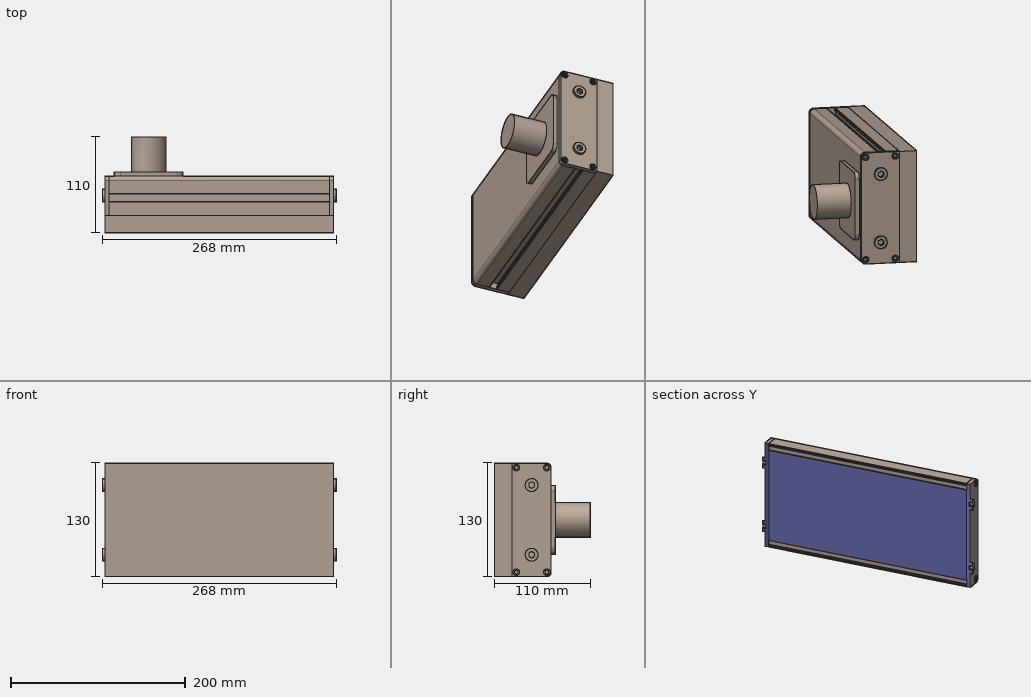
import cadquery as cq

overall_length = 268.0
overall_depth = 110.0
height = 130.0
plug_height = 3.0
length = overall_length - 2 * plug_height

block_depth = 20.0
housing_depth = 45.0
flange_depth = 4.8
housing_back = block_depth + housing_depth
flange_back = housing_back + flange_depth
spigot_depth = overall_depth - flange_back
housing_mid = block_depth + housing_depth / 2

cap_thickness = 4.8
back_corner_radius = 5.0
housing_length = length - 2 * cap_thickness

slot_y = 40.2
slot_mouth_width = 9.6
slot_mouth_depth = 1.0
slot_throat_width = 8.0
slot_throat_depth = 2.1
slot_chamber_width = 10.7
slot_chamber_depth = 4.8

plug_diameter = 14.7
plug_spacing = 79.9
socket_sides = 6
plug_socket_corners = 7.5
plug_socket_depth = 4.0

screw_edge_distance = 5.0
screw_recess_diameter = 7.5
screw_recess_depth = 0.3
screw_socket_corners = 4.8
screw_socket_depth = 2.7

flange_side = 79.0
flange_corner_radius = 7.0
spigot_diameter = 40.0
flange_end_distance = 50.0
flange_x = -length / 2 + flange_end_distance


def rounded_section(start_x, thickness):
    """Slab of the housing section, rounded along its two back edges."""
    slab = cq.Workplane("XY").box(thickness, housing_depth, height, centered=(False, False, True))
    slab = slab.edges("|X and >Y").fillet(back_corner_radius)
    return slab.translate((start_x, block_depth, 0))


def slot_cutter():
    """T-slot running the housing length, open at the top face."""
    cutter = cq.Workplane("XY")
    bottom = height / 2
    for width, depth in (
        (slot_mouth_width, slot_mouth_depth),
        (slot_throat_width, slot_throat_depth),
        (slot_chamber_width, slot_chamber_depth),
    ):
        bottom -= depth
        step = cq.Workplane("XY").box(housing_length, width, depth, centered=(True, True, False))
        cutter = cutter.union(step.translate((0, slot_y, bottom)))
    return cutter


def make_front_block():
    """Plain block closing the front, as long as the housing with its end caps."""
    return cq.Workplane("XY").box(length, block_depth, height, centered=(True, False, True))


def make_housing():
    """Housing body between the end caps, with a slot in its top and bottom."""
    top_slot = slot_cutter()
    bottom_slot = top_slot.mirror("XY")
    return rounded_section(-housing_length / 2, housing_length).cut(top_slot).cut(bottom_slot)


def make_left_cap():
    """End cap at -X with two plugs and four recessed screw heads."""
    outer_x = -length / 2
    outside = cq.Workplane(
        cq.Plane(origin=(outer_x, housing_mid, 0), xDir=(0, 0, 1), normal=(-1, 0, 0))
    )
    plug_places = outside.rarray(plug_spacing, 2.7, 2, 1)
    plug_socket_places = outside.workplane(offset=plug_height).rarray(plug_spacing, 2.7, 2, 1)
    screw_z_spacing = height - 2 * screw_edge_distance
    screw_y_spacing = housing_depth - 2 * screw_edge_distance
    screw_places = outside.rarray(screw_z_spacing, screw_y_spacing, 2, 2)

    plugs = plug_places.circle(plug_diameter / 2).extrude(plug_height)
    plug_sockets = plug_socket_places.polygon(socket_sides, plug_socket_corners).extrude(-plug_socket_depth)
    recesses = screw_places.circle(screw_recess_diameter / 2).extrude(-screw_recess_depth)
    screw_sockets = screw_places.polygon(socket_sides, screw_socket_corners).extrude(
        -(screw_recess_depth + screw_socket_depth)
    )

    cap = rounded_section(outer_x, cap_thickness).union(plugs)
    return cap.cut(plug_sockets).cut(recesses).cut(screw_sockets)


def make_flange():
    """Square flange on the back of the housing with a round spigot."""
    flange = (
        cq.Workplane("XY")
        .box(flange_side, flange_depth, flange_side, centered=(True, False, True))
        .edges("|Y")
        .fillet(flange_corner_radius)
        .translate((flange_x, housing_back, 0))
    )
    back = cq.Plane(origin=(flange_x, flange_back, 0), xDir=(0, 0, 1), normal=(0, 1, 0))
    spigot = cq.Workplane(back).circle(spigot_diameter / 2).extrude(spigot_depth)
    return flange.union(spigot)


front_block = make_front_block()
housing = make_housing()
left_cap = make_left_cap()
right_cap = left_cap.mirror("YZ")
flange = make_flange()

result = cq.Compound.makeCompound(
    [front_block.val(), housing.val(), left_cap.val(), right_cap.val(), flange.val()]
)